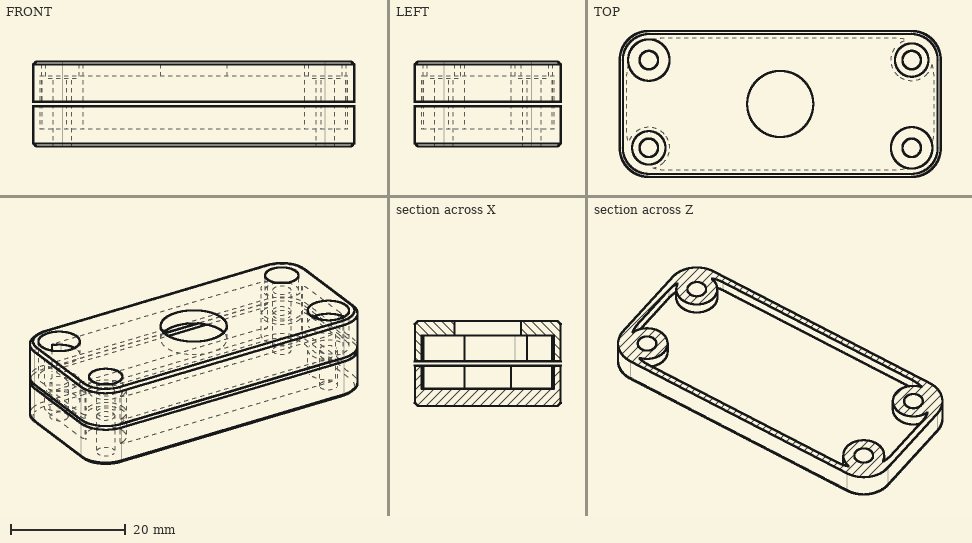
import cadquery as cq

length = 55.9
width = 25.4
total_height = 14.8
gap = 0.7
half_height = (total_height - gap) / 2
corner_radius = 5.1
edge_chamfer = 0.55

wall = 1.25
cavity_corner_radius = 6.7
roof_thickness = 2.55
floor_thickness = 3.0

screw_x = length / 2 - corner_radius
screw_y = width / 2 - corner_radius
bore_diameter = 3.2
counterbore_diameter = 5.8
counterbore_depth = 2.95
access_hole_diameter = 7.2
window_diameter = 11.5
boss_diameter = access_hole_diameter

cover_screws = [(-screw_x, -screw_y), (screw_x, screw_y)]
access_points = [(-screw_x, screw_y), (screw_x, -screw_y)]
all_corners = cover_screws + access_points


def rounded_block(x_size, y_size, radius, bottom, height):
    """Box centred on the Z axis with rounded vertical corners."""
    block = cq.Workplane("XY").box(x_size, y_size, height, centered=(True, True, False))
    return block.edges("|Z").fillet(radius).translate((0, 0, bottom))


def cylinders(points, diameter, bottom, height):
    """Upright cylinders standing at the given points."""
    return cq.Workplane("XY", origin=(0, 0, bottom)).pushPoints(points).circle(diameter / 2).extrude(height)


def cavity(bottom, height):
    """Hollow that leaves an even side wall, with generously rounded corners."""
    return rounded_block(length - 2 * wall, width - 2 * wall, cavity_corner_radius, bottom, height)


def make_base():
    """Lower tray with a screw boss in each corner, each bored through."""
    cavity_height = half_height - floor_thickness
    base = rounded_block(length, width, corner_radius, 0, half_height)
    base = base.faces("<Z").edges().chamfer(edge_chamfer)
    base = base.cut(cavity(floor_thickness, cavity_height))
    base = base.union(cylinders(all_corners, boss_diameter, floor_thickness, cavity_height))
    return base.cut(cylinders(all_corners, bore_diameter, 0, half_height))


def make_cover():
    """Upper shell with a round window, two counterbored screw bosses and two access holes."""
    bottom = half_height + gap
    cavity_height = half_height - roof_thickness
    cover = rounded_block(length, width, corner_radius, bottom, half_height)
    cover = cover.faces(">Z").edges().chamfer(edge_chamfer)
    cover = cover.cut(cavity(bottom, cavity_height))
    cover = cover.union(cylinders(cover_screws, boss_diameter, bottom, cavity_height))
    cover = cover.cut(cylinders(cover_screws, bore_diameter, bottom, half_height))
    counterbore_floor = total_height - counterbore_depth
    cover = cover.cut(cylinders(cover_screws, counterbore_diameter, counterbore_floor, counterbore_depth))
    cover = cover.cut(cylinders(access_points, access_hole_diameter, bottom, half_height))
    return cover.cut(cylinders([(0, 0)], window_diameter, total_height - roof_thickness, roof_thickness))


base = make_base()
cover = make_cover()

result = cq.Compound.makeCompound([base.val(), cover.val()])